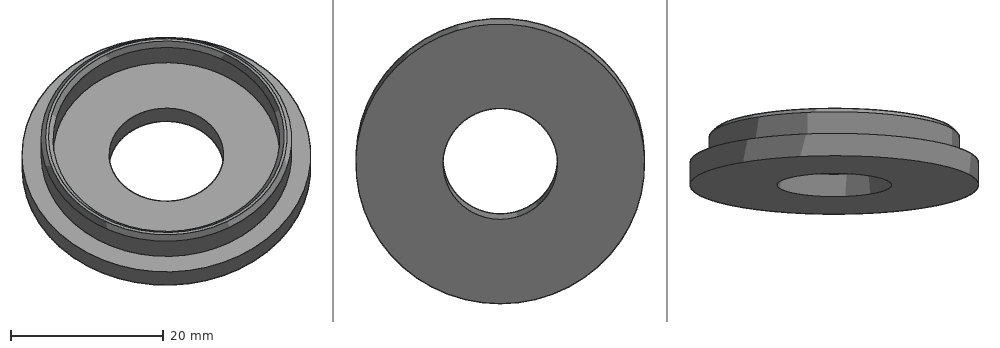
import cadquery as cq

flange_diameter = 37.9
flange_height = 3.0
total_height = 7.0
collar_diameter = 32.9
recess_diameter = 29.7
bore_diameter = 15.0
rim_chamfer = 0.6

flange = cq.Workplane("XY").circle(flange_diameter / 2).extrude(flange_height)

collar = (
    cq.Workplane("XY")
    .workplane(offset=flange_height)
    .circle(collar_diameter / 2)
    .circle(recess_diameter / 2)
    .extrude(total_height - flange_height)
    .faces(">Z")
    .edges()
    .chamfer(rim_chamfer)
)

bore = cq.Workplane("XY").circle(bore_diameter / 2).extrude(flange_height)

result = flange.union(collar).cut(bore)